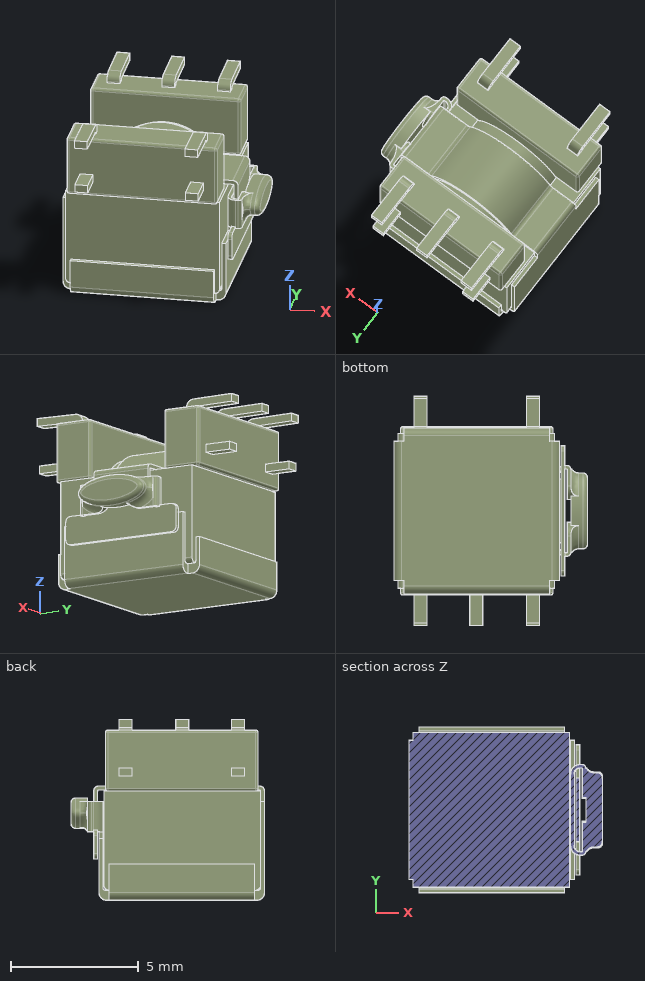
import cadquery as cq

SHEET = 0.16
FOLD_RADIUS = 0.21
CLIP_HALF_X = 3.25
CLIP_HALF_Y = 3.26
PANEL_HALF_Y = 2.74
FLAP_HALF_X = 2.86
FLAP_TOP = 1.43
BASE_THICKNESS = 0.4
BASE_RADIUS = 0.31
BASE_INNER_RADIUS = 0.11
LEFT_PANEL_TOP = 3.89
RIGHT_PANEL_TOP = 2.42

CORE_X = 6.15
CORE_Y = 6.08
CORE_CENTRE_X = -0.02
CORE_TOP = 4.29
CORE_RADIUS = 0.2

FLANGE_X = 5.99
FLANGE_INNER_Y = 1.7
FLANGE_OUTER_Y = 3.3
FLANGE_TOP = 6.68
FLANGE_RADIUS = 0.1
COIL_RADIUS = 2.15
COIL_TOP = 5.5
COIL_AXIS_Z = COIL_TOP - COIL_RADIUS

PIN_WIDTH = 0.51
PIN_THICKNESS = 0.315
PIN_EMBED = 0.18
PIN_OUTER_X = 2.205
PIN_MIDDLE_X = -0.02
BENT_PIN_TIP_Y = 4.5
BENT_PIN_LEG_Y = 2.39
BENT_PIN_TOP = 7.1
BENT_PIN_DROP = 0.03
BENT_PIN_RADIUS = 0.34
BENT_PIN_ROOT = FLANGE_TOP - PIN_EMBED
STRAIGHT_PIN_TIP_Y = 4.4
STRAIGHT_PIN_Z = 5.03

STRAP_HALF_Y = 1.25
STRAP_DECK = 4.49
STRAP_BLEND_RADIUS = 0.2
TAB_OUTER_X = 3.46
TAB_HALF_Y = 2.56
TAB_BOTTOM = 1.62
TAB_TOP = 2.75
TAB_RADIUS = 0.22

HOOK_SHEET = 0.14
HOOK_BOTTOM = 2.69
HOOK_TOP = 3.89
HOOK_BEND_RADIUS = 0.38
HOOK_BEND_X = CLIP_HALF_X - SHEET + HOOK_BEND_RADIUS
HOOK_BEND_Y = 1.4
HOOK_OUTER_X = 3.69
HOOK_CORNER_X = HOOK_OUTER_X - HOOK_SHEET
HOOK_CORNER_Y = HOOK_BEND_Y + HOOK_BEND_RADIUS - HOOK_SHEET
HOOK_END_Y = 0.44
HOOK_END_RADIUS = 0.54

BUTTON_HALF_Y = 1.49
BUTTON_HALF_Z = 0.6
BUTTON_Z = 3.42
BUTTON_OUTER_X = 4.35
BUTTON_RADIUS = 0.19
BUTTON_BLEND_RADIUS = 0.3

PICK_MARGIN = 0.09


def block(x, y, z):
    """Box spanning the given (low, high) ranges."""
    size = (x[1] - x[0], y[1] - y[0], z[1] - z[0])
    return cq.Workplane("XY").box(*size, centered=False).translate((x[0], y[0], z[0]))


def with_y_mirror(body):
    """The body joined with its reflection on the -Y side."""
    return body.union(body.mirror("XZ"))


def make_core():
    core = block((-CORE_X / 2, CORE_X / 2), (-CORE_Y / 2, CORE_Y / 2), (BASE_THICKNESS, CORE_TOP))
    return core.edges("|Y and <Z").fillet(CORE_RADIUS).translate((CORE_CENTRE_X, 0, 0))


def make_base_channel(half_span, half_width, wall_top):
    """U-shaped channel along Y with a thick floor and thin upright walls at +X and -X."""
    width = (-half_width, half_width)
    outside = block((-half_span, half_span), width, (0, wall_top))
    outside = outside.edges("|Y and <Z").fillet(BASE_RADIUS)
    inner = half_span - SHEET
    cavity = block((-inner, inner), width, (BASE_THICKNESS, wall_top))
    cavity = cavity.edges("|Y and <Z").fillet(BASE_INNER_RADIUS)
    return outside.cut(cavity)


def make_clip():
    """Panels at -X and +X with low flaps at -Y and +Y, all folded up from the base."""
    panels = make_base_channel(CLIP_HALF_X, PANEL_HALF_Y, LEFT_PANEL_TOP)
    above_right_panel = block(
        (0, CLIP_HALF_X), (-PANEL_HALF_Y, PANEL_HALF_Y), (RIGHT_PANEL_TOP, LEFT_PANEL_TOP)
    )
    flaps = make_base_channel(CLIP_HALF_Y, FLAP_HALF_X, FLAP_TOP)
    flaps = flaps.rotate((0, 0, 0), (0, 0, 1), 90)
    return panels.cut(above_right_panel).union(flaps)


def make_coil():
    coil = cq.Workplane("XZ").center(0, COIL_AXIS_Z).circle(COIL_RADIUS)
    return coil.extrude(FLANGE_INNER_Y, both=True)


def make_strap():
    """Sheet strip that leaves the -X panel, arches over the coil and drops to the tab."""
    width = (-STRAP_HALF_Y, STRAP_HALF_Y)
    outside = block((-CLIP_HALF_X, TAB_OUTER_X), width, (0, STRAP_DECK))
    outside = outside.edges("|Y and >Z").fillet(FOLD_RADIUS)
    reach = COIL_RADIUS + SHEET
    arch = cq.Workplane("XZ").center(0, COIL_AXIS_Z).circle(reach)
    outside = outside.union(arch.extrude(STRAP_HALF_Y, both=True))
    blend_zone = cq.selectors.BoxSelector(
        (-reach, -PICK_MARGIN, STRAP_DECK - PICK_MARGIN),
        (reach, PICK_MARGIN, STRAP_DECK + PICK_MARGIN),
    )
    outside = outside.edges("|Y").edges(blend_zone).fillet(STRAP_BLEND_RADIUS)

    inside = block((SHEET - CLIP_HALF_X, TAB_OUTER_X - SHEET), width, (0, STRAP_DECK - SHEET))
    inside = inside.edges("|Y and >Z").fillet(FOLD_RADIUS - SHEET)
    strap = outside.cut(inside).cut(make_coil())
    strap = strap.cut(block((-CLIP_HALF_X, 0), width, (0, LEFT_PANEL_TOP)))
    strap = strap.cut(block((0, TAB_OUTER_X), width, (0, TAB_TOP)))
    tab = block(
        (TAB_OUTER_X - SHEET, TAB_OUTER_X), (-TAB_HALF_Y, TAB_HALF_Y), (TAB_BOTTOM, TAB_TOP)
    )
    return strap.union(tab.edges("|X").fillet(TAB_RADIUS))


def make_flange():
    flange = block(
        (-FLANGE_X / 2, FLANGE_X / 2), (FLANGE_INNER_Y, FLANGE_OUTER_Y), (CORE_TOP, FLANGE_TOP)
    )
    return flange.edges().fillet(FLANGE_RADIUS)


def make_bent_pin(x):
    """Pin rising from the flange and bent toward +Y, its arm climbing slightly to the tip."""
    inner_radius = BENT_PIN_RADIUS - PIN_THICKNESS
    bend_y = BENT_PIN_LEG_Y + BENT_PIN_RADIUS
    bend_top = BENT_PIN_TOP - BENT_PIN_DROP
    bend_start = bend_top - BENT_PIN_RADIUS
    pin = (
        cq.Workplane("YZ")
        .moveTo(BENT_PIN_LEG_Y, BENT_PIN_ROOT)
        .lineTo(BENT_PIN_LEG_Y, bend_start)
        .radiusArc((bend_y, bend_top), BENT_PIN_RADIUS)
        .lineTo(BENT_PIN_TIP_Y, BENT_PIN_TOP)
        .lineTo(BENT_PIN_TIP_Y, BENT_PIN_TOP - PIN_THICKNESS)
        .lineTo(bend_y, bend_top - PIN_THICKNESS)
        .radiusArc((BENT_PIN_LEG_Y + PIN_THICKNESS, bend_start), -inner_radius)
        .lineTo(BENT_PIN_LEG_Y + PIN_THICKNESS, BENT_PIN_ROOT)
        .close()
    )
    return pin.extrude(PIN_WIDTH / 2, both=True).translate((x, 0, 0))


def make_straight_pin(x):
    return block(
        (x - PIN_WIDTH / 2, x + PIN_WIDTH / 2),
        (FLANGE_INNER_Y + FLANGE_RADIUS, STRAIGHT_PIN_TIP_Y),
        (STRAIGHT_PIN_Z - PIN_THICKNESS / 2, STRAIGHT_PIN_Z + PIN_THICKNESS / 2),
    )


def make_terminals():
    """Flange and pins at -Y and +Y; the +Y side has an extra bent pin in the middle."""
    side = make_flange()
    for x in (-PIN_OUTER_X, PIN_OUTER_X):
        side = side.union(make_bent_pin(x)).union(make_straight_pin(x))
    return with_y_mirror(side).union(make_bent_pin(PIN_MIDDLE_X))


def make_hook_leg(x, thickness):
    """Flat strip along +Y with its free end rounded, starting at x."""
    leg = block((x, x + thickness), (HOOK_END_Y, HOOK_CORNER_Y), (HOOK_BOTTOM, HOOK_TOP))
    return leg.edges("|X and <Y").fillet(HOOK_END_RADIUS)


def make_hooks():
    """Spring strips that rise from the +X panel and curl around the strap."""
    outer_top = HOOK_BEND_Y + HOOK_BEND_RADIUS
    inner_radius = HOOK_BEND_RADIUS - HOOK_SHEET
    bend = (
        cq.Workplane("XY", origin=(0, 0, HOOK_BOTTOM))
        .moveTo(HOOK_BEND_X - HOOK_BEND_RADIUS, HOOK_BEND_Y)
        .radiusArc((HOOK_BEND_X, outer_top), HOOK_BEND_RADIUS)
        .lineTo(HOOK_CORNER_X, outer_top)
        .radiusArc((HOOK_OUTER_X, HOOK_CORNER_Y), HOOK_SHEET)
        .lineTo(HOOK_BEND_X, HOOK_CORNER_Y)
        .radiusArc((HOOK_BEND_X - inner_radius, HOOK_BEND_Y), -inner_radius)
        .close()
        .extrude(HOOK_TOP - HOOK_BOTTOM)
    )
    root = block(
        (CLIP_HALF_X - SHEET, CLIP_HALF_X), (0, HOOK_BEND_Y), (RIGHT_PANEL_TOP, HOOK_TOP)
    )
    return with_y_mirror(bend.union(make_hook_leg(HOOK_CORNER_X, HOOK_SHEET)).union(root))


def make_button():
    """Oval button with a concave blend where it stands on the hook legs."""
    depth = BUTTON_OUTER_X - HOOK_OUTER_X
    centre = (HOOK_OUTER_X, 0, BUTTON_Z)
    oval = cq.Workplane("YZ", origin=centre).ellipse(BUTTON_HALF_Y, BUTTON_HALF_Z).extrude(depth)
    button = oval.faces(">X").edges().fillet(BUTTON_RADIUS)

    plate_size = 4 * BUTTON_HALF_Y
    wide_plate = cq.Workplane("YZ", origin=centre).rect(plate_size, plate_size)
    blend = wide_plate.extrude(-HOOK_SHEET).union(oval)
    pick_y = BUTTON_HALF_Y + PICK_MARGIN
    pick_z = BUTTON_HALF_Z + PICK_MARGIN
    foot = cq.selectors.BoxSelector(
        (HOOK_OUTER_X - PICK_MARGIN, -pick_y, BUTTON_Z - pick_z),
        (HOOK_OUTER_X + PICK_MARGIN, pick_y, BUTTON_Z + pick_z),
        boundingbox=True,
    )
    blend = blend.edges(foot).fillet(BUTTON_BLEND_RADIUS)
    above_leg = make_hook_leg(HOOK_OUTER_X, BUTTON_BLEND_RADIUS)
    return button.union(with_y_mirror(blend.intersect(above_leg)))


result = make_core()
for body in (
    make_clip(),
    make_coil(),
    make_strap(),
    make_terminals(),
    make_hooks(),
    make_button(),
):
    result = result.union(body)